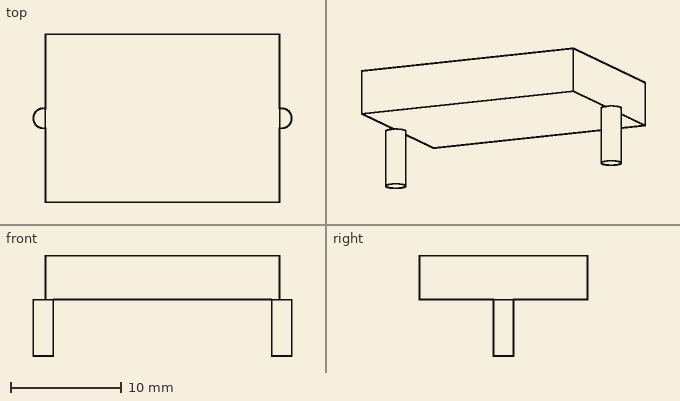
import cadquery as cq

housing_length = 21.21
housing_width = 15.24
housing_height = 4.0

overall_length = 23.42
overall_height = 9.1
pin_diameter = 1.83
pin_length = overall_height - housing_height
pin_spacing = overall_length - pin_diameter


def make_housing():
    """Plain block that rests on top of the pins."""
    return cq.Workplane("XY").box(
        housing_length, housing_width, housing_height, centered=(True, True, False)
    )


def make_pin(center_x):
    """Straight pin whose flat top touches the underside of the housing."""
    return (
        cq.Workplane("XY")
        .center(center_x, 0)
        .circle(pin_diameter / 2)
        .extrude(-pin_length)
    )


housing = make_housing()

pins = []
for side in (-1, 1):
    pins.append(make_pin(side * pin_spacing / 2))

result = cq.Compound.makeCompound([housing.val(), *[pin.val() for pin in pins]])